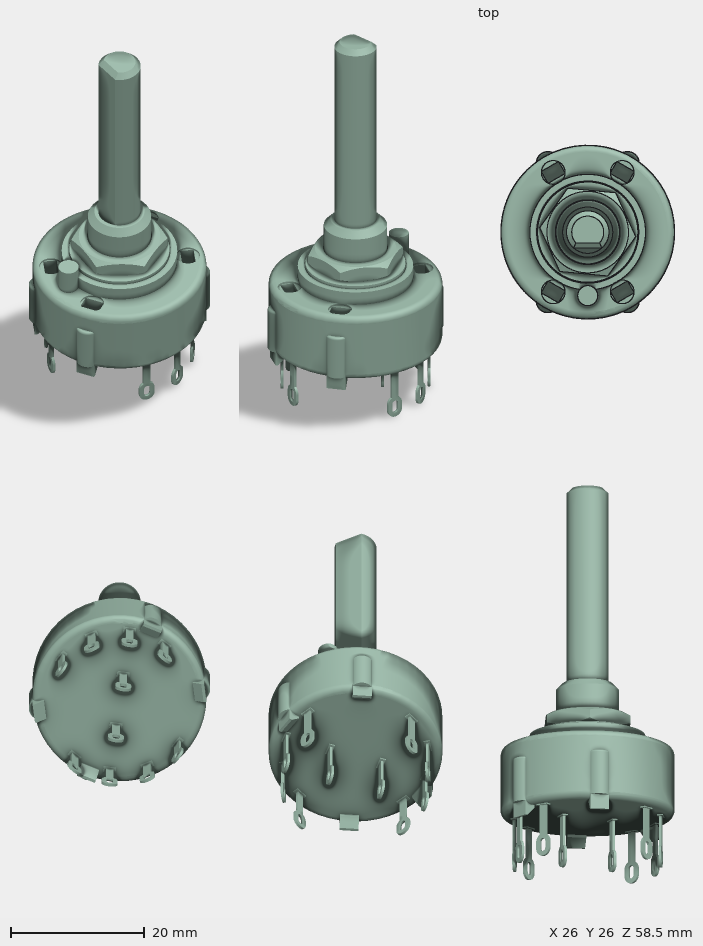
import math

import cadquery as cq

housing_diameter = 26.0
housing_height = 10.5
housing_fillet = 1.0

flange_diameter = 17.3
flange_height = 2.1
flange_top = housing_height + flange_height
recess_diameter = 15.3
recess_depth = 0.3

washer_diameter = 15.0
washer_rise = 0.45
washer_top = flange_top + washer_rise
nut_height = 2.5
nut_top = washer_top + nut_height
nut_width = 12.5
nut_face_diameter = 12.2
nut_bore = 9.7
nut_turn = -5.4
nut_bevel_angle = 30.0

bushing_diameter = 9.5
bushing_top = 20.5
bushing_chamfer = 1.0
shaft_diameter = 6.35
shaft_length = 30.0
shaft_top = bushing_top + shaft_length
shaft_flat_depth = 3.0
shaft_flat_bottom = bushing_top - shaft_flat_depth
shaft_flat_y = -2.385
shaft_chamfer = 0.78

post_diameter = 3.0
post_y = -9.5
post_height = 3.9
post_top = housing_height + post_height

clip_angles = (60, 120, 240, 300)
clip_width = 2.85
clip_crest_radius = 13.65
clip_rib_bottom = 0.5
clip_rib_top = 7.3
clip_rib_fillet = 0.35
hook_bottom = -1.7
hook_tip_radius = 12.5
hook_inner_radius = 11.2

window_diameter = 3.55
window_radius = 10.31
window_depth = 0.3
pocket_width = 3.0
pocket_thickness = 2.05
pocket_depth = 3.0

terminal_bottom = -8.0
terminal_thickness = 0.4
stem_width = 1.15
eyelet_width = 2.4
eyelet_height = 3.4
slot_width = 1.0
slot_height = 2.0
collar_width = 1.9
collar_thickness = 0.9
collar_height = 0.2
outer_terminal_radius = 11.0
outer_terminal_angles = (165, 195, 225, 255, 345, 15, 45, 75)
inner_terminal_radius = 4.03
inner_terminal_angles = (45, 225)

embed = 0.5


def cylinder(diameter, bottom, top):
    return cq.Workplane("XY").workplane(offset=bottom).circle(diameter / 2).extrude(top - bottom)


def turned(shape, angle):
    return shape.rotate((0, 0, 0), (0, 0, 1), angle)


def make_housing():
    housing = cylinder(housing_diameter, 0, housing_height).edges().fillet(housing_fillet)
    flange = cylinder(flange_diameter, housing_height - embed, flange_top)
    recess = cylinder(recess_diameter, flange_top - recess_depth, flange_top)
    return housing.union(flange).cut(recess)


def make_nut():
    corner_radius = nut_width / math.sqrt(3)
    hexagon = (
        cq.Workplane("XY")
        .workplane(offset=washer_top)
        .polygon(6, 2 * corner_radius)
        .extrude(nut_height)
    )
    face_radius = nut_face_diameter / 2
    bevel_height = (corner_radius - face_radius) * math.tan(math.radians(nut_bevel_angle))
    blank = (
        cq.Workplane("XZ")
        .moveTo(0, washer_top)
        .lineTo(face_radius, washer_top)
        .lineTo(corner_radius, washer_top + bevel_height)
        .lineTo(corner_radius, nut_top - bevel_height)
        .lineTo(face_radius, nut_top)
        .lineTo(0, nut_top)
        .close()
        .revolve(360, (0, 0, 0), (0, 1, 0))
    )
    bore = cylinder(nut_bore, washer_top, nut_top)
    return turned(hexagon.intersect(blank).cut(bore), nut_turn)


def make_bushing():
    bushing = cylinder(bushing_diameter, flange_top - embed, bushing_top)
    bore = cylinder(shaft_diameter, shaft_flat_bottom, bushing_top)
    return bushing.faces(">Z").chamfer(bushing_chamfer).cut(bore)


def make_shaft():
    """Shaft whose flat starts a little way down inside the bushing."""
    shaft = cylinder(shaft_diameter, shaft_flat_bottom, shaft_top)
    beyond_flat = (
        cq.Workplane("XY")
        .workplane(offset=shaft_flat_bottom)
        .center(0, shaft_flat_y - shaft_diameter / 2)
        .rect(shaft_diameter, shaft_diameter)
        .extrude(shaft_top - shaft_flat_bottom)
    )
    return shaft.cut(beyond_flat).faces(">Z").chamfer(shaft_chamfer)


def make_clip():
    """Clip on the +X side: a rounded rib with a wedge-shaped hook below it."""
    half_width = clip_width / 2
    face_radius = math.sqrt((housing_diameter / 2) ** 2 - half_width ** 2)
    rib = (
        cq.Workplane("XY")
        .workplane(offset=clip_rib_bottom)
        .moveTo(hook_inner_radius, -half_width)
        .lineTo(face_radius, -half_width)
        .threePointArc((clip_crest_radius, 0), (face_radius, half_width))
        .lineTo(hook_inner_radius, half_width)
        .close()
        .extrude(clip_rib_top - clip_rib_bottom)
        .faces(">Z")
        .edges(">X")
        .fillet(clip_rib_fillet)
    )
    wedge_top = hook_bottom + hook_tip_radius - hook_inner_radius
    hook = (
        cq.Workplane("XZ")
        .moveTo(hook_tip_radius, hook_bottom)
        .lineTo(face_radius, hook_bottom)
        .lineTo(face_radius, clip_rib_bottom)
        .lineTo(hook_inner_radius, clip_rib_bottom)
        .lineTo(hook_inner_radius, wedge_top)
        .close()
        .extrude(half_width, both=True)
    )
    return rib.union(hook)


def make_window():
    """Cutter on the +X side for a round recess and the pocket in its floor."""
    recess = cylinder(window_diameter, housing_height - window_depth, housing_height)
    pocket_floor = housing_height - pocket_depth
    pocket = (
        cq.Workplane("XY")
        .workplane(offset=pocket_floor)
        .rect(pocket_thickness, pocket_width)
        .extrude(pocket_depth)
        .intersect(cylinder(window_diameter, pocket_floor, housing_height))
    )
    return recess.union(pocket).translate((window_radius, 0, 0))


def make_terminal(radius):
    """Flat terminal on the +X side, its broad face square to the radius."""
    eyelet_z = terminal_bottom + eyelet_height / 2
    plane = cq.Workplane("YZ")
    eyelet = (
        plane.center(0, eyelet_z)
        .slot2D(eyelet_height, eyelet_width, 90)
        .extrude(terminal_thickness / 2, both=True)
    )
    stem_height = embed - eyelet_z
    stem = (
        plane.center(0, eyelet_z + stem_height / 2)
        .rect(stem_width, stem_height)
        .extrude(terminal_thickness / 2, both=True)
    )
    slot = (
        plane.center(0, eyelet_z)
        .slot2D(slot_height, slot_width, 90)
        .extrude(terminal_thickness, both=True)
    )
    collar = (
        cq.Workplane("XY")
        .workplane(offset=-collar_height)
        .rect(collar_thickness, collar_width)
        .extrude(collar_height + embed)
    )
    return eyelet.union(stem).cut(slot).union(collar).translate((radius, 0, 0))


result = make_housing()
result = result.union(cylinder(washer_diameter, flange_top - recess_depth, washer_top))
result = result.union(make_bushing()).union(make_nut()).union(make_shaft())

post = cylinder(post_diameter, housing_height - embed, post_top).translate((0, post_y, 0))
result = result.union(post)

for angle in clip_angles:
    result = result.union(turned(make_clip(), angle))
    result = result.cut(turned(make_window(), angle))

for angle in outer_terminal_angles:
    result = result.union(turned(make_terminal(outer_terminal_radius), angle))
for angle in inner_terminal_angles:
    result = result.union(turned(make_terminal(inner_terminal_radius), angle))